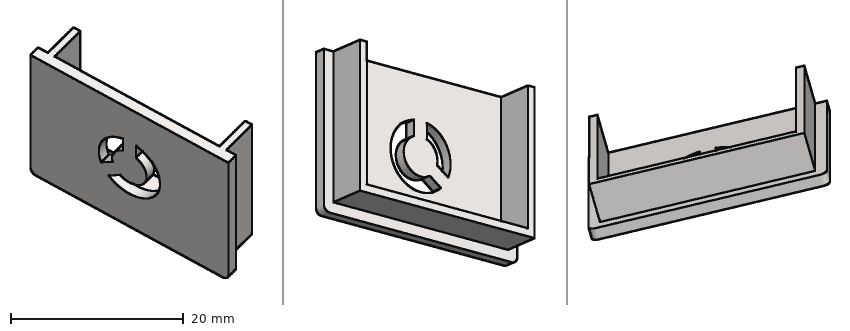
import cadquery as cq

plate_width = 28.6
plate_height = 20.05
plate_thickness = 1.5
corner_radius = 0.85

side_margin = 1.4
bottom_margin = 1.4
wall_thickness = 1.0
rim_depth = 5.0

window_outer_radius = 4.42
window_inner_radius = 2.5
bridge_width = 1.9
bridge_angles = (90, 215)

plate_bottom = -plate_height / 2
rim_width = plate_width - 2 * side_margin
rim_bottom = plate_bottom + bottom_margin
rim_height = plate_height - bottom_margin


def box_from(x, y, z, width, depth, height):
    """Box with its lowest corner at (x, y, z)."""
    return cq.Workplane("XY").box(width, depth, height, centered=False).translate((x, y, z))


def face_plate():
    """Rectangular plate with its two bottom corners rounded; front face at Y = 0."""
    plate = box_from(-plate_width / 2, 0, plate_bottom, plate_width, plate_thickness, plate_height)
    return plate.edges("|Y and <Z").fillet(corner_radius)


def rim():
    """Side walls and floor standing on the back of the plate."""
    left = -rim_width / 2
    right = rim_width / 2 - wall_thickness
    walls = box_from(left, plate_thickness, rim_bottom, rim_width, rim_depth, wall_thickness)
    for x in (left, right):
        walls = walls.union(
            box_from(x, plate_thickness, rim_bottom, wall_thickness, rim_depth, rim_height)
        )
    return walls


def bridge(angle):
    """Bar running outwards from the window centre at the given angle."""
    reach = window_outer_radius + bridge_width
    bar = box_from(0, 0, -bridge_width / 2, reach, plate_thickness, bridge_width)
    return bar.rotate((0, 0, 0), (0, 1, 0), -angle)


def ring_window():
    """Ring-shaped cutter with the bridges left out."""
    ring = (
        cq.Workplane("XZ")
        .circle(window_outer_radius)
        .circle(window_inner_radius)
        .extrude(-plate_thickness)
    )
    for angle in bridge_angles:
        ring = ring.cut(bridge(angle))
    return ring


result = face_plate().cut(ring_window()).union(rim())